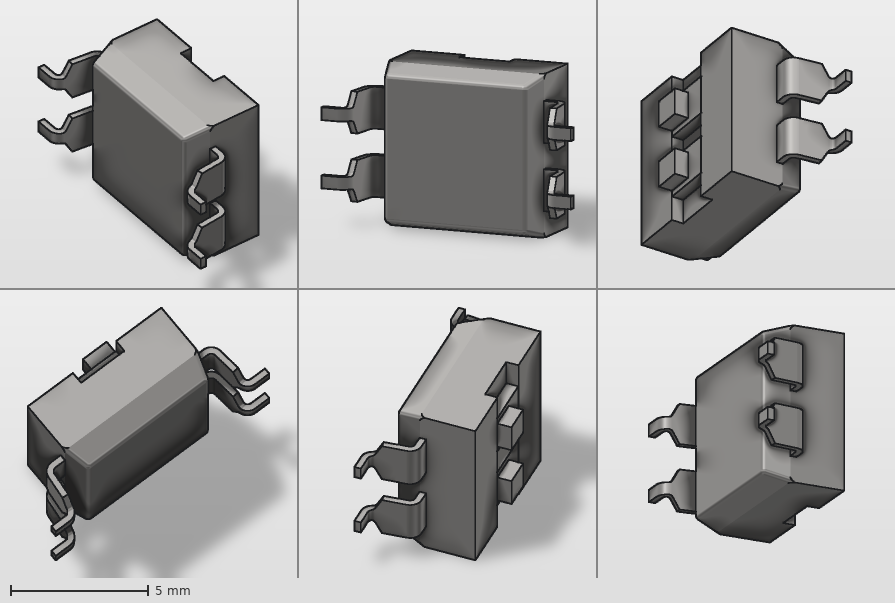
import cadquery as cq
import math


pick_margin = 0.1

housing_length = 6.2
housing_height = 6.08
housing_front_y = 0.81
parting_y = 1.81
housing_back_y = 4.0
taper_angle = 16.5
taper_fillet = 0.2

slot_width = 2.0
slot_floor_y = 3.51

pitch = 2.53
row_offsets = (-pitch / 2, pitch / 2)

slider_base_back_y = 3.99
slider_base_height = 1.55
knob_length = 1.1
knob_height = 1.08
knob_back_y = 4.55

lead_span = 9.9
lead_top_y = 2.06
lead_thickness = 0.26
lead_width = 1.55
foot_width = 0.48
bend_inner_radius = 0.2
upper_bend_x = 3.52
leg_angle = 6.0
shoulder_x = 3.97
shoulder_y = 0.71
outline_overrun = 0.99
shoulder_angle = 60.0
shoulder_fillet = 0.2


def make_housing():
    """Straight block with a tapered, rounded front and a channel across its back."""
    block = (
        cq.Workplane("XZ", origin=(0, parting_y, 0))
        .rect(housing_length, housing_height)
        .extrude(parting_y - housing_back_y)
    )
    tapered_front = (
        cq.Workplane("XZ", origin=(0, parting_y, 0))
        .rect(housing_length, housing_height)
        .extrude(parting_y - housing_front_y, taper=taper_angle)
    )
    body = block.union(tapered_front)

    tapered_edges = body.edges(
        cq.selectors.BoxSelector(
            (-housing_length, housing_front_y - pick_margin, -housing_height),
            (housing_length, parting_y - pick_margin, housing_height),
        )
    )
    body = tapered_edges.fillet(taper_fillet)

    slot = cq.Workplane("XY").box(
        slot_width, housing_back_y - slot_floor_y, housing_height, centered=(True, False, True)
    )
    return body.cut(slot.translate((0, slot_floor_y, 0)))


def make_slider(z):
    """Base that fills the channel width, with a knob at the +X end of the channel."""
    base = cq.Workplane("XY").box(
        slot_width, slider_base_back_y - slot_floor_y, slider_base_height, centered=(True, False, True)
    )
    knob = cq.Workplane("XY").box(
        knob_length, knob_back_y - slot_floor_y, knob_height, centered=(True, False, True)
    )
    slider = base.union(knob.translate(((slot_width - knob_length) / 2, 0, 0)))
    return slider.translate((0, slot_floor_y, z))


def make_lead_strip():
    """Full-width bent strip on the +X side, swept along its middle line."""
    bend_radius = bend_inner_radius + lead_thickness / 2
    lean = math.radians(leg_angle)
    wall_y = lead_top_y - lead_thickness / 2
    foot_y = lead_thickness / 2
    upper_axis_y = wall_y - bend_radius
    lower_axis_y = foot_y + bend_radius
    axis_rise = upper_axis_y - lower_axis_y
    lower_bend_x = upper_bend_x + (2 * bend_radius + axis_rise * math.sin(lean)) / math.cos(lean)

    to_leg_x = bend_radius * math.cos(lean)
    to_leg_y = bend_radius * math.sin(lean)
    path = (
        cq.Workplane("XY")
        .moveTo(housing_length / 2, wall_y)
        .lineTo(upper_bend_x, wall_y)
        .tangentArcPoint((upper_bend_x + to_leg_x, upper_axis_y + to_leg_y), relative=False)
        .lineTo(lower_bend_x - to_leg_x, lower_axis_y - to_leg_y)
        .tangentArcPoint((lower_bend_x, foot_y), relative=False)
        .lineTo(lead_span / 2, foot_y)
    )
    return (
        cq.Workplane("YZ", origin=(housing_length / 2, wall_y, 0))
        .rect(lead_thickness, lead_width)
        .sweep(path)
    )


def make_lead_outline():
    """Prism square to the leg with the lead's outline: wide leg, sloping shoulders, narrow foot."""
    half_lead = lead_width / 2
    half_foot = foot_width / 2
    bottom_y = -outline_overrun
    top_y = lead_top_y + outline_overrun
    neck_y = shoulder_y - (half_lead - half_foot) / math.tan(math.radians(shoulder_angle))
    prism = (
        cq.Workplane("YZ")
        .polyline(
            [
                (bottom_y, -half_foot),
                (neck_y, -half_foot),
                (shoulder_y, -half_lead),
                (top_y, -half_lead),
                (top_y, half_lead),
                (shoulder_y, half_lead),
                (neck_y, half_foot),
                (bottom_y, half_foot),
            ]
        )
        .close()
        .extrude(lead_span / 2 + outline_overrun)
    )
    neck_corners = prism.edges(
        cq.selectors.BoxSelector(
            (0, neck_y - pick_margin, -half_foot - pick_margin),
            (lead_span, neck_y + pick_margin, half_foot + pick_margin),
        )
    )
    prism = neck_corners.fillet(shoulder_fillet)

    tilt_center = (shoulder_x, shoulder_y, 0)
    tilt_end = (shoulder_x, shoulder_y, 1)
    return prism.rotate(tilt_center, tilt_end, leg_angle)


def make_leads():
    """Four leads, two on each side of the housing."""
    right_lead = make_lead_strip().intersect(make_lead_outline())
    left_lead = right_lead.mirror("YZ")
    leads = []
    for z in row_offsets:
        for lead in (left_lead, right_lead):
            leads.append(lead.translate((0, 0, z)))
    return leads


housing = make_housing()
sliders = [make_slider(z) for z in row_offsets]
leads = make_leads()

result = cq.Compound.makeCompound([body.val() for body in [housing, *sliders, *leads]])